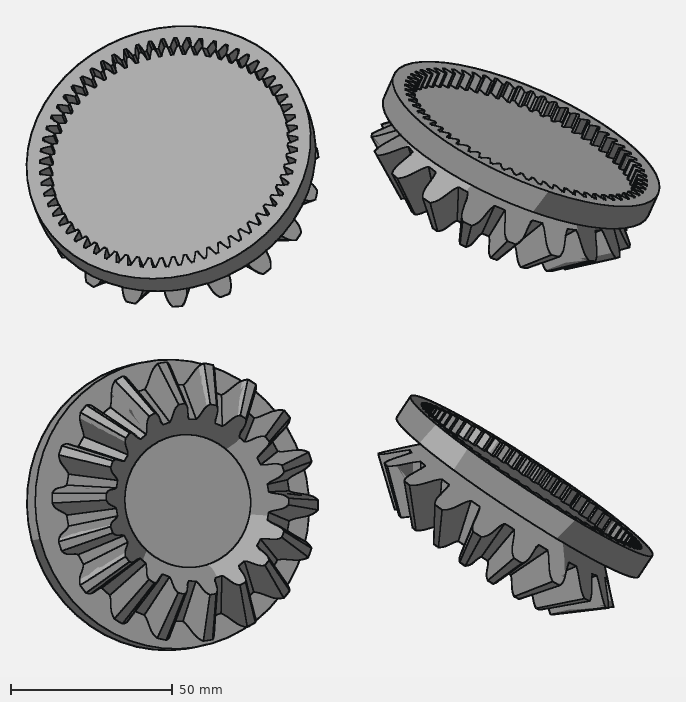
import cadquery as cq
import math

rim_radius = 45.0
disc_thickness = 8.0
pocket_depth = 5.0

ring_teeth = 63
ring_pitch_radius = 39.4
ring_tip_radius = 37.7
ring_root_radius = 40.8
ring_tooth_spacing = 5.7
first_gap_angle = 90 - ring_tooth_spacing / 2

bevel_teeth = 18
bevel_pitch_radius = 40.5
bevel_pitch_depth = 8.8
back_radius = 31.4
pitch_cone_angle = math.radians(45)
bevel_face_width = 18.0
dedendum_factor = 7 / 6
root_fillet = 0.7
small_end_recess = 4.5

pressure_angle = math.radians(20)

axis_tilt = 45
axis_swing = 1.8

bevel_module = 2 * bevel_pitch_radius / bevel_teeth
apex_depth = bevel_pitch_depth + bevel_pitch_radius / math.tan(pitch_cone_angle)
outer_cone_distance = bevel_pitch_radius / math.sin(pitch_cone_angle)
inner_cone_distance = outer_cone_distance - bevel_face_width
tip_radius = bevel_pitch_radius + bevel_module * math.cos(pitch_cone_angle)
root_radius = bevel_pitch_radius - dedendum_factor * bevel_module * math.cos(pitch_cone_angle)
tip_cone_angle = math.asin(tip_radius / outer_cone_distance)
root_cone_angle = math.asin(root_radius / outer_cone_distance)
base_cone_angle = math.asin(math.cos(pressure_angle) * math.sin(pitch_cone_angle))


def polar(radius, angle):
    return (radius * math.cos(angle), radius * math.sin(angle))


def involute_angle(radius, base_radius):
    """Polar angle of a flat involute at the given radius."""
    roll = math.acos(base_radius / radius)
    return math.tan(roll) - roll


def spherical_involute_angle(cone_angle):
    """Azimuth of the bevel flank on the given cone, zero at the base cone."""
    swept = math.acos(math.cos(cone_angle) / math.cos(base_cone_angle)) / math.sin(base_cone_angle)
    return swept - math.acos(math.tan(base_cone_angle) / math.tan(cone_angle))


def toothed_wire(plane_height, count, pitch, flank):
    """Closed outline of outward teeth; flank lists (radius, half angle) from root to tip.

    Whatever the tooth pitches leave of the full turn widens the gap before the first tooth.
    """
    root_radius, root_half_angle = flank[0]
    tip_radius = flank[-1][0]
    outline = cq.Workplane("XY", origin=(0, 0, plane_height))
    outline = outline.moveTo(*polar(root_radius, -root_half_angle))
    for index in range(count):
        middle = index * pitch
        rising = [polar(radius, middle - half) for radius, half in flank]
        falling = [polar(radius, middle + half) for radius, half in reversed(flank)]
        outline = outline.spline(rising[1:], includeCurrent=True)
        outline = outline.threePointArc(polar(tip_radius, middle), falling[0])
        outline = outline.spline(falling[1:], includeCurrent=True)
        next_middle = middle + pitch if index < count - 1 else 2 * math.pi
        gap_middle = polar(root_radius, (middle + next_middle) / 2)
        next_tooth = polar(root_radius, next_middle - root_half_angle)
        outline = outline.threePointArc(gap_middle, next_tooth)
    return outline.close()


def ring_pocket():
    """Toothed pocket whose outline bulges outward between the internal teeth."""
    base_radius = ring_pitch_radius * math.cos(pressure_angle)
    pitch_angle = involute_angle(ring_pitch_radius, base_radius)
    quarter_pitch = math.pi / (2 * ring_teeth)
    flank = [
        (radius, quarter_pitch + pitch_angle - involute_angle(radius, base_radius))
        for radius in (ring_tip_radius, ring_pitch_radius, ring_root_radius)
    ]
    floor = disc_thickness - pocket_depth
    pitch = math.radians(ring_tooth_spacing)
    pocket = toothed_wire(floor, ring_teeth, pitch, flank).extrude(pocket_depth)
    return pocket.rotate((0, 0, 0), (0, 0, 1), first_gap_angle)


def bevel_prism(apex_distance_near, apex_distance_far):
    """Toothed cone converging on the apex, between two planes across the axis."""
    pitch = 2 * math.pi / bevel_teeth
    base_half_angle = pitch / 4 + spherical_involute_angle(pitch_cone_angle)
    root_flare = root_fillet / root_radius
    flank_angles = (base_cone_angle, pitch_cone_angle, tip_cone_angle)

    def section(distance):
        flank = [(distance * math.tan(root_cone_angle), base_half_angle + root_flare)]
        flank += [
            (distance * math.tan(cone), base_half_angle - spherical_involute_angle(cone))
            for cone in flank_angles
        ]
        return toothed_wire(distance - apex_depth, bevel_teeth, pitch, flank).wires().val()

    sections = [section(apex_distance_near), section(apex_distance_far)]
    return cq.Workplane("XY").newObject([cq.Solid.makeLoft(sections, True)])


def cone_point(distance, cone_angle):
    """Radius and height of a point at a distance from the apex."""
    return (distance * math.sin(cone_angle), distance * math.cos(cone_angle) - apex_depth)


def bevel_blank():
    """Turned envelope: back cone, tip cone and an inner end cone dished into the small end."""
    tip_outer = cone_point(outer_cone_distance, tip_cone_angle)
    tip_inner = cone_point(inner_cone_distance, tip_cone_angle)
    root_inner = cone_point(inner_cone_distance, root_cone_angle)
    slope = (tip_inner[0] - root_inner[0]) / (root_inner[1] - tip_inner[1])
    dish = (root_inner[0] - small_end_recess * slope, root_inner[1] + small_end_recess)
    profile = [(0, 0), (back_radius, 0), tip_outer, tip_inner, dish, (0, dish[1])]
    return cq.Workplane("XZ").polyline(profile).close().revolve(360, (0, 0), (0, 1))


def bevel_gear():
    small_end = inner_cone_distance * math.cos(tip_cone_angle)
    return bevel_prism(small_end, apex_depth).intersect(bevel_blank())


disc = cq.Workplane("XY").circle(rim_radius).extrude(disc_thickness)
gear = disc.cut(ring_pocket()).union(bevel_gear())
result = gear.rotate((0, 0, 0), (1, 0, 0), axis_tilt).rotate((0, 0, 0), (0, 0, 1), axis_swing)